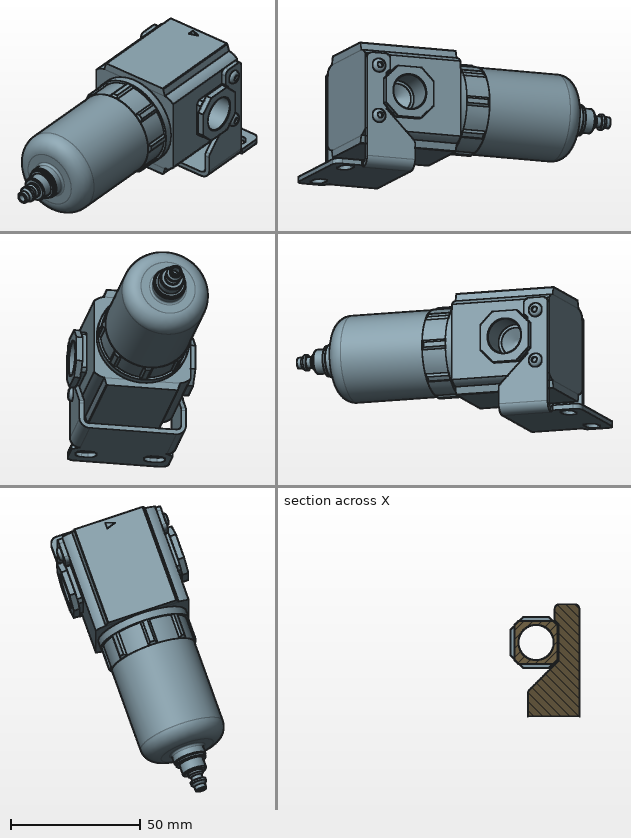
import cadquery as cq
import math


HOUSING_LENGTH = 40.0
HOUSING_HALF_HEIGHT = 20.0
HOUSING_HALF_WIDTH = 19.1
SIDE_HALF_HEIGHT = 14.9
SHOULDER_HALF_WIDTH = 15.0
SHOULDER_HEIGHT = 17.0
SHOULDER_BULGE = 0.4
COVER_HALF_WIDTH = 14.1
COVER_EDGE_CHAMFER = 0.2

ARROW_LENGTH = 3.7
ARROW_HALF_WIDTH = 1.2
ARROW_DEPTH = 0.2
ARROW_SETBACK = 2.6

PORT_Y = 23.1
PORT_FACE_X = 23.5
PORT_FLANGE_HALF_SIZE = 10.0
PORT_FLANGE_CHAMFER = 5.0
PORT_NECK_HALF_SIZE = 8.4
PORT_NECK_CHAMFER = 1.5
PORT_BORE_RADIUS = 6.8
PORT_BORE_DEPTH = 12.3
PORT_BORE_CHAMFER = 0.2
PORT_DRILL_RADIUS = 5.5
PORT_DRILL_TIP_ANGLE = 118
PORT_DRILL_TIP_DEPTH = PORT_DRILL_RADIUS / math.tan(math.radians(PORT_DRILL_TIP_ANGLE / 2))

PLATE_THICKNESS = 2.0
BRACKET_HALF_WIDTH = HOUSING_HALF_WIDTH + PLATE_THICKNESS
BRACKET_BOTTOM = -30.0
BEND_INNER_RADIUS = 2.0
BEND_OUTER_RADIUS = BEND_INNER_RADIUS + PLATE_THICKNESS
BRACKET_TOP = 14.9
BRACKET_FOOT_LENGTH = 20.0
BRACKET_EAR_LENGTH = 9.7
BRACKET_NOTCH_LENGTH = 8.1
BRACKET_NOTCH_HALF_HEIGHT = 7.0
EAR_CORNER_RADIUS = 2.0
FOOT_CORNER_RADIUS = 2.0
TAB_LENGTH = 13.0
TAB_HALF_WIDTH = 19.9
TAB_CORNER_RADIUS = 3.0
TAB_ROOT_TAPER = 1.8
SLOT_X = 13.5
SLOT_LENGTH = 8.4
SLOT_WIDTH = 5.7
SLOT_FROM_TAB_END = 7.0

SCREW_HEAD_RADIUS = 2.7
SCREW_HEAD_HEIGHT = 1.5
SCREW_SOCKET_RADIUS = 1.1
SCREW_SOCKET_DEPTH = 1.0
SCREW_Y = 35.0
SCREW_Z = 10.0

COLLAR_RADIUS = 18.1
COLLAR_LENGTH = 3.1
BOWL_RADIUS = 17.0
BOWL_END = 53.0
BOWL_DOME_RADIUS = 6.3
RING_RADIUS = 17.1
RIB_COUNT = 8
RIB_TOP_RADIUS = 17.8
RIB_BASE_HALF_WIDTH = 1.8
RIB_TOP_HALF_WIDTH = 1.0
RIB_END = 13.0
RIB_END_CHAMFER = 1.0
BOWL_NECK_RADIUS = 6.4
BOWL_NECK_LENGTH = 3.9
BOWL_NECK_ROOT_FILLET = 0.9
BOWL_NECK_END_CHAMFER = 0.4

DRAIN_COLLAR_RADIUS = 6.0
DRAIN_COLLAR_LENGTH = 1.1
DRAIN_COLLAR_CHAMFER = 0.2
DRAIN_BARREL_RADIUS = 4.8
DRAIN_BARREL_LENGTH = 4.4
DRAIN_BARREL_CHAMFER = 0.5
DRAIN_STEM_RADIUS = 2.2
DRAIN_SHOULDER_RADIUS = 3.0
DRAIN_BEAD_RADIUS = 3.1
DRAIN_END = 70.0
DRAIN_END_CHAMFER = 0.2
DRAIN_BORE_RADIUS = 1.5
DRAIN_BORE_DEPTH = 3.7
DRAIN_SHOULDER_END = 6.5
DRAIN_STEM_START = 7.3
DRAIN_BEAD_START = 9.1
DRAIN_BEAD_END = 10.1
DRAIN_BEAD_TAPER_END = 11.2


def chamfered_square(plane, half_size, chamfer):
    """Workplane holding a square outline centred on the port axis, with its corners cut at 45 degrees."""
    flat = half_size - chamfer
    points = [
        (half_size, flat),
        (flat, half_size),
        (-flat, half_size),
        (-half_size, flat),
        (-half_size, -flat),
        (-flat, -half_size),
        (flat, -half_size),
        (half_size, -flat),
    ]
    return plane.center(PORT_Y, 0).polyline(points).close()


def revolve_about_y(profile):
    """Turn a closed (radius, y) profile about the Y axis."""
    return profile.close().revolve(360, (0, 0, 0), (0, 1, 0))


def housing_core():
    """Block with rounded shoulders along its four long edges."""
    middle_x = (SHOULDER_HALF_WIDTH + HOUSING_HALF_WIDTH) / 2
    middle_z = (SHOULDER_HEIGHT + SIDE_HALF_HEIGHT) / 2
    run = HOUSING_HALF_WIDTH - SHOULDER_HALF_WIDTH
    rise = SHOULDER_HEIGHT - SIDE_HALF_HEIGHT
    chord = math.hypot(run, rise)
    bulge_x = middle_x + SHOULDER_BULGE * rise / chord
    bulge_z = middle_z + SHOULDER_BULGE * run / chord
    return (
        cq.Workplane("XZ")
        .moveTo(-SHOULDER_HALF_WIDTH, SHOULDER_HEIGHT)
        .lineTo(SHOULDER_HALF_WIDTH, SHOULDER_HEIGHT)
        .threePointArc((bulge_x, bulge_z), (HOUSING_HALF_WIDTH, SIDE_HALF_HEIGHT))
        .lineTo(HOUSING_HALF_WIDTH, -SIDE_HALF_HEIGHT)
        .threePointArc((bulge_x, -bulge_z), (SHOULDER_HALF_WIDTH, -SHOULDER_HEIGHT))
        .lineTo(-SHOULDER_HALF_WIDTH, -SHOULDER_HEIGHT)
        .threePointArc((-bulge_x, -bulge_z), (-HOUSING_HALF_WIDTH, -SIDE_HALF_HEIGHT))
        .lineTo(-HOUSING_HALF_WIDTH, SIDE_HALF_HEIGHT)
        .threePointArc((-bulge_x, bulge_z), (-SHOULDER_HALF_WIDTH, SHOULDER_HEIGHT))
        .close()
        .extrude(-HOUSING_LENGTH)
    )


def housing_cover(side):
    """Raised cover on the top (side = 1) or the bottom (side = -1) of the housing."""
    chamfer_z = HOUSING_HALF_HEIGHT - COVER_EDGE_CHAMFER
    crown_half_width = COVER_HALF_WIDTH - COVER_EDGE_CHAMFER
    half = [
        (SHOULDER_HALF_WIDTH, side * SHOULDER_HEIGHT),
        (COVER_HALF_WIDTH, side * chamfer_z),
        (crown_half_width, side * HOUSING_HALF_HEIGHT),
    ]
    mirrored = [(-x, z) for x, z in reversed(half)]
    return cq.Workplane("XZ").polyline(half + mirrored).close().extrude(-HOUSING_LENGTH)


def arrow_engraving():
    """Shallow triangle in the top cover, pointing along +X."""
    y = HOUSING_LENGTH - ARROW_SETBACK
    tail_x = -ARROW_LENGTH / 2
    return (
        cq.Workplane("XY")
        .workplane(offset=HOUSING_HALF_HEIGHT - ARROW_DEPTH)
        .polyline([(tail_x, y - ARROW_HALF_WIDTH), (-tail_x, y), (tail_x, y + ARROW_HALF_WIDTH)])
        .close()
        .extrude(ARROW_DEPTH)
    )


def port_boss(side):
    """Narrow neck through the bracket opening, then a wide flange outside the bracket."""
    neck_plane = cq.Workplane("YZ").workplane(offset=side * HOUSING_HALF_WIDTH)
    neck_outline = chamfered_square(neck_plane, PORT_NECK_HALF_SIZE, PORT_NECK_CHAMFER)
    neck = neck_outline.extrude(side * PLATE_THICKNESS)
    flange_plane = cq.Workplane("YZ").workplane(offset=side * BRACKET_HALF_WIDTH)
    flange_outline = chamfered_square(flange_plane, PORT_FLANGE_HALF_SIZE, PORT_FLANGE_CHAMFER)
    flange = flange_outline.extrude(side * (PORT_FACE_X - BRACKET_HALF_WIDTH))
    return neck.union(flange)


def port_bore(side):
    """Blind bore with a chamfered mouth and a conical drill point."""
    floor_x = PORT_FACE_X - PORT_BORE_DEPTH
    profile = [
        (side * PORT_FACE_X, PORT_Y),
        (side * PORT_FACE_X, PORT_Y + PORT_BORE_RADIUS + PORT_BORE_CHAMFER),
        (side * (PORT_FACE_X - PORT_BORE_CHAMFER), PORT_Y + PORT_BORE_RADIUS),
        (side * floor_x, PORT_Y + PORT_BORE_RADIUS),
        (side * floor_x, PORT_Y + PORT_DRILL_RADIUS),
        (side * (floor_x - PORT_DRILL_TIP_DEPTH), PORT_Y),
    ]
    return cq.Workplane("XY").polyline(profile).close().revolve(360, (0, PORT_Y, 0), (1, PORT_Y, 0))


def make_housing():
    housing = housing_core()
    for side in (1, -1):
        housing = housing.union(port_boss(side)).cut(port_bore(side))
    for side in (1, -1):
        housing = housing.union(housing_cover(side), clean=False)
    return housing.cut(arrow_engraving(), clean=False)


def bracket_channel():
    """U-shaped strip, open at the top, as long as the bracket foot."""

    def outline(half_width, bottom, radius):
        return (
            cq.Workplane("XZ", origin=(0, HOUSING_LENGTH, 0))
            .moveTo(-half_width, BRACKET_TOP)
            .lineTo(half_width, BRACKET_TOP)
            .lineTo(half_width, bottom)
            .lineTo(-half_width, bottom)
            .close()
            .extrude(BRACKET_FOOT_LENGTH)
            .edges("|Y and <Z")
            .fillet(radius)
        )

    outer = outline(BRACKET_HALF_WIDTH, BRACKET_BOTTOM, BEND_OUTER_RADIUS)
    inner = outline(HOUSING_HALF_WIDTH, BRACKET_BOTTOM + PLATE_THICKNESS, BEND_INNER_RADIUS)
    return outer.cut(inner)


def bracket_side_outline():
    """Prism across X with the side plates' outline: an ear above, a notch round the port, a long foot."""
    ear_y = HOUSING_LENGTH - BRACKET_EAR_LENGTH
    foot_y = HOUSING_LENGTH - BRACKET_FOOT_LENGTH
    notch_y = HOUSING_LENGTH - BRACKET_NOTCH_LENGTH
    notch_z = BRACKET_NOTCH_HALF_HEIGHT
    ear_z = notch_z + notch_y - ear_y
    foot_z = -notch_z - (notch_y - foot_y)
    prism = (
        cq.Workplane("YZ", origin=(-BRACKET_HALF_WIDTH, 0, 0))
        .moveTo(HOUSING_LENGTH, BRACKET_BOTTOM)
        .lineTo(HOUSING_LENGTH, BRACKET_TOP)
        .lineTo(ear_y, BRACKET_TOP)
        .lineTo(ear_y, ear_z)
        .lineTo(notch_y, notch_z)
        .lineTo(notch_y, -notch_z)
        .lineTo(foot_y, foot_z)
        .lineTo(foot_y, BRACKET_BOTTOM)
        .close()
        .extrude(2 * BRACKET_HALF_WIDTH)
    )
    prism = prism.edges("|X and >Z").fillet(EAR_CORNER_RADIUS)
    foot_corner = cq.selectors.NearestToPointSelector((0, foot_y, foot_z))
    return prism.edges("|X").edges(foot_corner).fillet(FOOT_CORNER_RADIUS)


def bracket_tab():
    """Flat mounting tab behind the housing, with two slots."""
    end_y = HOUSING_LENGTH + TAB_LENGTH
    bend_x = BRACKET_HALF_WIDTH - BEND_OUTER_RADIUS
    half = [
        (bend_x, HOUSING_LENGTH - BRACKET_FOOT_LENGTH),
        (bend_x, HOUSING_LENGTH),
        (TAB_HALF_WIDTH, HOUSING_LENGTH + TAB_ROOT_TAPER),
        (TAB_HALF_WIDTH, end_y),
    ]
    mirrored = [(-x, y) for x, y in reversed(half)]
    tab = (
        cq.Workplane("XY")
        .workplane(offset=BRACKET_BOTTOM)
        .polyline(half + mirrored)
        .close()
        .extrude(PLATE_THICKNESS)
        .edges("|Z and >Y")
        .fillet(TAB_CORNER_RADIUS)
    )
    slot_y = end_y - SLOT_FROM_TAB_END
    slots = (
        cq.Workplane("XY")
        .workplane(offset=BRACKET_BOTTOM)
        .pushPoints([(-SLOT_X, slot_y), (SLOT_X, slot_y)])
        .slot2D(SLOT_LENGTH, SLOT_WIDTH)
        .extrude(PLATE_THICKNESS)
    )
    return tab.cut(slots)


def make_bracket():
    return bracket_channel().intersect(bracket_side_outline()).union(bracket_tab())


def make_screw(side, z):
    """Round screw head seated on the outside of the bracket, with a blind socket."""
    crown_radius = SCREW_HEAD_RADIUS - SCREW_HEAD_HEIGHT
    arc_offset = SCREW_HEAD_HEIGHT * math.sqrt(0.5)
    floor = SCREW_HEAD_HEIGHT - SCREW_SOCKET_DEPTH
    head = (
        cq.Workplane("XY")
        .lineTo(0, SCREW_HEAD_RADIUS)
        .threePointArc((arc_offset, crown_radius + arc_offset), (SCREW_HEAD_HEIGHT, crown_radius))
        .lineTo(SCREW_HEAD_HEIGHT, SCREW_SOCKET_RADIUS)
        .lineTo(floor, SCREW_SOCKET_RADIUS)
        .lineTo(floor, 0)
        .close()
        .revolve(360, (0, 0, 0), (1, 0, 0))
    )
    if side < 0:
        head = head.mirror("YZ")
    return head.translate((side * BRACKET_HALF_WIDTH, SCREW_Y, z))


def bowl_body():
    """Collar, slightly raised ring under the ribs, domed bowl and neck in one turned shape."""
    neck_end = BOWL_END + BOWL_NECK_LENGTH
    dome_offset = BOWL_DOME_RADIUS * (1 - math.sqrt(0.5))
    root_offset = BOWL_NECK_ROOT_FILLET * (1 - math.sqrt(0.5))
    return revolve_about_y(
        cq.Workplane("XY")
        .lineTo(COLLAR_RADIUS, 0)
        .lineTo(COLLAR_RADIUS, -COLLAR_LENGTH)
        .lineTo(RING_RADIUS, -COLLAR_LENGTH)
        .lineTo(RING_RADIUS, -RIB_END)
        .lineTo(BOWL_RADIUS, -RIB_END)
        .lineTo(BOWL_RADIUS, BOWL_DOME_RADIUS - BOWL_END)
        .threePointArc(
            (BOWL_RADIUS - dome_offset, dome_offset - BOWL_END),
            (BOWL_RADIUS - BOWL_DOME_RADIUS, -BOWL_END),
        )
        .lineTo(BOWL_NECK_RADIUS + BOWL_NECK_ROOT_FILLET, -BOWL_END)
        .threePointArc(
            (BOWL_NECK_RADIUS + root_offset, -BOWL_END - root_offset),
            (BOWL_NECK_RADIUS, -BOWL_END - BOWL_NECK_ROOT_FILLET),
        )
        .lineTo(BOWL_NECK_RADIUS, BOWL_NECK_END_CHAMFER - neck_end)
        .lineTo(BOWL_NECK_RADIUS - BOWL_NECK_END_CHAMFER, -neck_end)
        .lineTo(0, -neck_end)
    )


def bowl_rib():
    """Grip rib with sloped flanks, on the +Z side of the bowl, bevelled at its free end."""
    root_height = math.sqrt(RING_RADIUS**2 - RIB_BASE_HALF_WIDTH**2)
    flank_height = math.sqrt(RIB_TOP_RADIUS**2 - RIB_TOP_HALF_WIDTH**2)
    side = [
        (-COLLAR_LENGTH, 0),
        (-COLLAR_LENGTH, RIB_TOP_RADIUS),
        (RIB_END_CHAMFER - RIB_END, RIB_TOP_RADIUS),
        (-RIB_END, RING_RADIUS),
        (-RIB_END, 0),
    ]
    bar = (
        cq.Workplane("XZ")
        .moveTo(-RIB_BASE_HALF_WIDTH, 0)
        .lineTo(-RIB_BASE_HALF_WIDTH, root_height)
        .lineTo(-RIB_TOP_HALF_WIDTH, flank_height)
        .threePointArc((0, RIB_TOP_RADIUS), (RIB_TOP_HALF_WIDTH, flank_height))
        .lineTo(RIB_BASE_HALF_WIDTH, root_height)
        .lineTo(RIB_BASE_HALF_WIDTH, 0)
        .close()
        .extrude(RIB_END)
    )
    bevel = (
        cq.Workplane("YZ", origin=(-RIB_BASE_HALF_WIDTH, 0, 0))
        .polyline(side)
        .close()
        .extrude(2 * RIB_BASE_HALF_WIDTH)
    )
    return bar.intersect(bevel)


def make_bowl():
    bowl = bowl_body()
    rib = bowl_rib()
    for index in range(RIB_COUNT):
        bowl = bowl.union(rib.rotate((0, 0, 0), (0, 1, 0), index * 360 / RIB_COUNT))
    return bowl


def make_drain():
    """Turned drain cock: collar, barrel and shoulder, then a thin stem with a bead and a blind bore."""
    start = BOWL_END + BOWL_NECK_LENGTH
    collar_end = start + DRAIN_COLLAR_LENGTH
    barrel_end = collar_end + DRAIN_BARREL_LENGTH
    points = [
        (0, -start),
        (DRAIN_COLLAR_RADIUS, -start),
        (DRAIN_COLLAR_RADIUS, DRAIN_COLLAR_CHAMFER - collar_end),
        (DRAIN_COLLAR_RADIUS - DRAIN_COLLAR_CHAMFER, -collar_end),
        (DRAIN_BARREL_RADIUS, -collar_end),
        (DRAIN_BARREL_RADIUS, DRAIN_BARREL_CHAMFER - barrel_end),
        (DRAIN_BARREL_RADIUS - DRAIN_BARREL_CHAMFER, -barrel_end),
        (DRAIN_SHOULDER_RADIUS, -barrel_end),
        (DRAIN_SHOULDER_RADIUS, -start - DRAIN_SHOULDER_END),
        (DRAIN_STEM_RADIUS, -start - DRAIN_STEM_START),
        (DRAIN_STEM_RADIUS, -start - DRAIN_BEAD_START),
        (DRAIN_BEAD_RADIUS, -start - DRAIN_BEAD_START),
        (DRAIN_BEAD_RADIUS, -start - DRAIN_BEAD_END),
        (DRAIN_STEM_RADIUS, -start - DRAIN_BEAD_TAPER_END),
        (DRAIN_STEM_RADIUS, DRAIN_END_CHAMFER - DRAIN_END),
        (DRAIN_STEM_RADIUS - DRAIN_END_CHAMFER, -DRAIN_END),
        (DRAIN_BORE_RADIUS, -DRAIN_END),
        (DRAIN_BORE_RADIUS, DRAIN_BORE_DEPTH - DRAIN_END),
        (0, DRAIN_BORE_DEPTH - DRAIN_END),
    ]
    return revolve_about_y(cq.Workplane("XY").polyline(points))


housing = make_housing()
bracket = make_bracket()
bowl = make_bowl()
drain = make_drain()
screws = [make_screw(side, z) for side in (-1, 1) for z in (-SCREW_Z, SCREW_Z)]

result = cq.Compound.makeCompound(
    [housing.val(), bracket.val(), bowl.val(), drain.val(), *[screw.val() for screw in screws]]
)